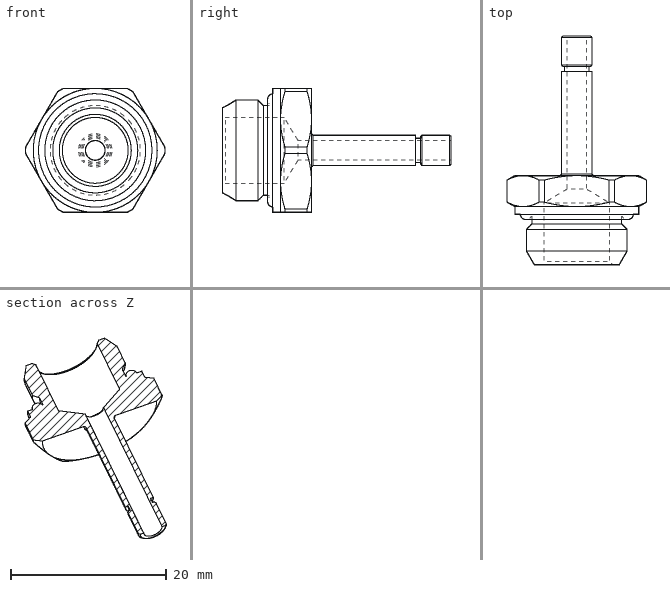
import cadquery as cq
import math

thread_chamfer_end = 1.77
thread_end = 4.57
seal_front = 5.8
collar_front = 6.5
hex_front = 7.5
hex_back = 11.5
groove_front = 24.93
groove_back = 25.55
total_length = 29.5

thread_radius = 13.0 / 2
neck_radius = 11.6 / 2
seal_radius = 14.63 / 2
stem_radius = 3.95 / 2
groove_radius = 3.2 / 2

across_flats = 16.0
corner_radius = 18.0 / 2
collar_radius = across_flats / 2

bevel_angle = math.radians(30)
stem_root_flare = 0.18
stem_chamfer = 0.2

passage_radius = 2.5 / 2
bore_radius = 8.5 / 2
bore_mouth_radius = 9.3 / 2
mouth_chamfer = bore_mouth_radius - bore_radius
bore_depth = 7.96
drill_point_half_angle = math.radians(59)


def revolve_about_y(profile):
    """Turn a closed profile, drawn as (radius, y), about the Y axis."""
    return profile.close().revolve(360, (0, 0, 0), (0, 1, 0))


def make_turned_body():
    """Threaded plug, neck, collar and grooved stem."""
    nose_radius = thread_radius - thread_chamfer_end * math.tan(bevel_angle)
    neck_front = thread_end + thread_radius - neck_radius
    profile = (
        cq.Workplane("XY")
        .lineTo(nose_radius, 0)
        .lineTo(thread_radius, thread_chamfer_end)
        .lineTo(thread_radius, thread_end)
        .lineTo(neck_radius, neck_front)
        .lineTo(neck_radius, collar_front)
        .lineTo(collar_radius, collar_front)
        .lineTo(collar_radius, hex_back)
        .lineTo(stem_radius + stem_root_flare, hex_back)
        .lineTo(stem_radius, hex_back + stem_root_flare)
        .lineTo(stem_radius, groove_front)
        .lineTo(groove_radius, groove_front)
        .lineTo(groove_radius, groove_back)
        .lineTo(stem_radius - stem_chamfer, groove_back)
        .lineTo(stem_radius, groove_back + stem_chamfer)
        .lineTo(stem_radius, total_length - stem_chamfer)
        .lineTo(stem_radius - stem_chamfer, total_length)
        .lineTo(0, total_length)
    )
    return revolve_about_y(profile)


def make_seal():
    """O-ring around the neck, seated against the collar."""
    section_radius = (seal_radius - neck_radius) / 2
    ring_radius = neck_radius + section_radius
    ring = (
        cq.Workplane("XY")
        .center(ring_radius, seal_front + section_radius)
        .circle(section_radius)
        .revolve(360, (-ring_radius, 0, 0), (-ring_radius, 1, 0))
    )
    return ring


def make_hexagon():
    """Hexagon with corners on +X and -X, bevelled on both faces."""
    bevel_height = (corner_radius - collar_radius) * math.tan(bevel_angle)
    prism = (
        cq.Workplane("XZ", origin=(0, hex_back, 0))
        .polygon(6, across_flats / math.cos(math.pi / 6))
        .extrude(hex_back - hex_front)
    )
    envelope = (
        cq.Workplane("XY")
        .moveTo(0, hex_front)
        .lineTo(collar_radius, hex_front)
        .lineTo(corner_radius, hex_front + bevel_height)
        .lineTo(corner_radius, hex_back - bevel_height)
        .lineTo(collar_radius, hex_back)
        .lineTo(0, hex_back)
    )
    return prism.intersect(revolve_about_y(envelope))


def make_bore():
    """Chamfered blind bore with a conical floor and a passage through the stem."""
    cone_depth = (bore_radius - passage_radius) / math.tan(drill_point_half_angle)
    profile = (
        cq.Workplane("XY")
        .lineTo(bore_mouth_radius, 0)
        .lineTo(bore_radius, mouth_chamfer)
        .lineTo(bore_radius, bore_depth)
        .lineTo(passage_radius, bore_depth + cone_depth)
        .lineTo(passage_radius, total_length)
        .lineTo(0, total_length)
    )
    return revolve_about_y(profile)


outside = make_turned_body().union(make_seal()).union(make_hexagon())
result = outside.cut(make_bore())